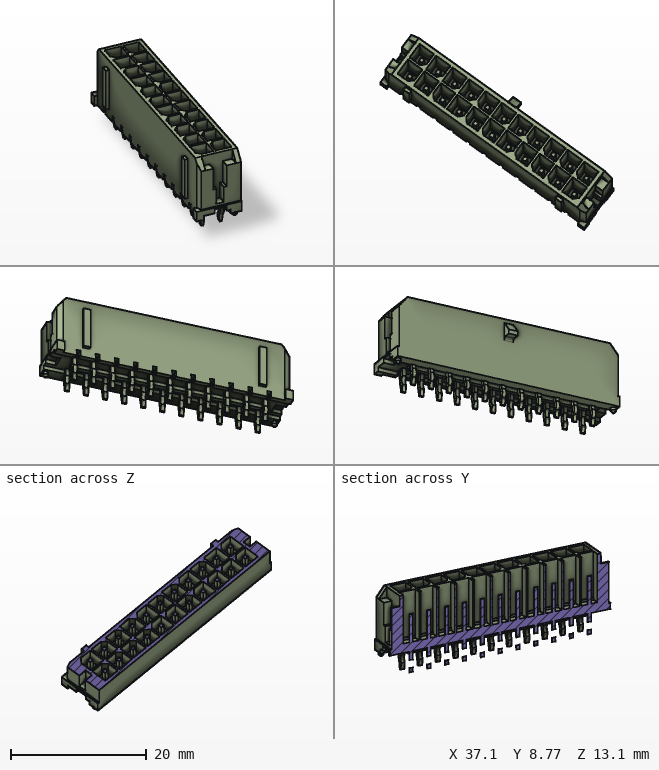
import cadquery as cq
import math

overall_length = 37.15
body_width = 6.85
body_height = 9.95
half_length = overall_length / 2
back_y = body_width / 2
front_y = -body_width / 2

flange_thickness = 0.25
flange_height = 1.67
foot_length = 1.15
foot_reach = 0.52
body_half_length = half_length - flange_thickness

end_slope_drop = 1.67
corner_bevel_x = foot_length - flange_thickness
corner_bevel_y = 0.37
end_wall_depth = 1.37
end_inner_x = body_half_length - end_wall_depth
back_ear_width = 0.8
front_ear_width = 1.05
wide_channel_width = 2.15
wide_channel_floor = 4.68
narrow_channel_width = 1.23
narrow_channel_floor = 2.1

columns = 11
column_span = 30.0
pitch = column_span / (columns - 1)
row_y = pitch / 2
column_xs = [-column_span / 2 + column * pitch for column in range(columns)]

cell_half_width = 1.3
cell_half_depth = 1.25
front_cell_back_ledge = 0.1
ledge_height = 0.37
cell_floor = 2.23
cell_corner_cut = 0.67
back_row_keys = "RRRRLRRLLLL"
front_row_keys = "R-LRLLRLLLR"

pin_width = 0.65
pin_top = 6.7
bow_top = -0.55
bow_bottom = -2.0
bow_offset = 0.22
taper_top = -2.25
pin_tip = -3.12
pin_tip_width = 0.3

recess_height = 0.67
recess_front_wall = 0.7
recess_back_wall = 1.8
arch_width = 1.95
arch_height = 1.37
rib_width = 0.7
notch_height = 1.0

peg_diameter = 0.85
peg_radius = peg_diameter / 2
peg_end_inset = 0.55
peg_back_inset = 0.95
peg_straight = 0.4
peg_length = 0.8
peg_tip_radius = 0.07

guide_width = 1.08
guide_offset = 13.85
guide_bottom = 1.65
guide_top = 8.35

latch_width = 1.5
latch_reach = 1.4
latch_ramp_top = body_height - 0.65
latch_lip_top = body_height - 2.25
latch_underside = body_height - 2.95
latch_fillet = 0.5


def block(x_min, x_max, y_min, y_max, z_min, z_max):
    """Box spanning the given limits."""
    size = (x_max - x_min, y_max - y_min, z_max - z_min)
    return cq.Workplane("XY").box(*size, centered=False).translate((x_min, y_min, z_min))


def on_both_ends(shape):
    """The shape together with its mirror image at the other end of the connector."""
    return shape.union(shape.mirror("YZ"))


def make_body():
    bevel_x = body_half_length - corner_bevel_x
    plan = (
        cq.Workplane("XY")
        .polyline([
            (-body_half_length, back_y),
            (body_half_length, back_y),
            (body_half_length, front_y + corner_bevel_y),
            (bevel_x, front_y),
            (-bevel_x, front_y),
            (-body_half_length, front_y + corner_bevel_y),
        ])
        .close()
        .extrude(body_height)
    )
    slope_end_z = body_height - end_slope_drop
    elevation = (
        cq.Workplane("XZ")
        .polyline([
            (-body_half_length, 0),
            (body_half_length, 0),
            (body_half_length, slope_end_z),
            (end_inner_x, body_height),
            (-end_inner_x, body_height),
            (-body_half_length, slope_end_z),
        ])
        .close()
        .extrude(body_width / 2, both=True)
    )
    return plan.intersect(elevation)


def make_end_channels():
    """Pocket between the end ears, stepping down to a wide and then a narrow channel."""
    ear_floor = body_height - end_slope_drop
    channel = block(end_inner_x, half_length, front_y + front_ear_width, back_y - back_ear_width,
                    ear_floor, body_height)
    for width, floor in (
        (wide_channel_width, wide_channel_floor),
        (narrow_channel_width, narrow_channel_floor),
    ):
        channel = channel.union(block(end_inner_x, half_length, -width / 2, width / 2, floor, body_height))
    return on_both_ends(channel)


def make_flanges():
    flange = block(body_half_length, half_length, front_y, back_y, 0, flange_height)
    foot = block(half_length - foot_length, half_length, front_y - foot_reach,
                 front_y + corner_bevel_y, 0, flange_height)
    return on_both_ends(flange.union(foot))


def make_guides():
    guide = block(guide_offset - guide_width / 2, guide_offset + guide_width / 2,
                  front_y - foot_reach, front_y, guide_bottom, guide_top)
    return on_both_ends(guide)


def make_latch():
    lip_y = back_y + latch_reach
    arc_drop = latch_fillet * math.sqrt(0.5)
    arc_centre = (back_y + latch_fillet, latch_underside - latch_fillet)
    return (
        cq.Workplane("YZ")
        .moveTo(back_y, latch_ramp_top)
        .lineTo(lip_y, latch_lip_top)
        .lineTo(lip_y, latch_underside)
        .lineTo(back_y + latch_fillet, latch_underside)
        .threePointArc((arc_centre[0] - arc_drop, arc_centre[1] + arc_drop),
                       (back_y, latch_underside - latch_fillet))
        .close()
        .extrude(latch_width / 2, both=True)
    )


def make_pegs():
    peg = (
        cq.Workplane("XZ")
        .polyline([
            (0, 0),
            (peg_radius, 0),
            (peg_radius, -peg_straight),
            (peg_tip_radius, -peg_length),
            (0, -peg_length),
        ])
        .close()
        .revolve(360, (0, 0), (0, 1))
    )
    return on_both_ends(peg.translate((half_length - peg_end_inset, back_y - peg_back_inset, 0)))


def make_cell(x, y, key, back_half_depth):
    """Cell cavity around a pin, with the keyed front corner cut off."""
    right_cut = cell_corner_cut if key == "R" else 0
    left_cut = cell_corner_cut if key == "L" else 0
    corners = [
        (-cell_half_width, back_half_depth),
        (cell_half_width, back_half_depth),
        (cell_half_width, -cell_half_depth + right_cut),
    ]
    if right_cut:
        corners.append((cell_half_width - right_cut, -cell_half_depth))
    corners.append((-cell_half_width + left_cut, -cell_half_depth))
    if left_cut:
        corners.append((-cell_half_width, -cell_half_depth + left_cut))
    return (
        cq.Workplane("XY")
        .polyline(corners)
        .close()
        .extrude(body_height - cell_floor)
        .translate((x, y, cell_floor))
    )


def make_front_pin():
    """Front-row pin centred on X = 0, with its tail bowed toward -Y."""
    half = pin_width / 2
    tip_half = pin_tip_width / 2
    bow_middle = (bow_top + bow_bottom) / 2
    return (
        cq.Workplane("YZ")
        .moveTo(-row_y - half, pin_top)
        .lineTo(-row_y - half, bow_top)
        .threePointArc((-row_y - half - bow_offset, bow_middle), (-row_y - half, bow_bottom))
        .lineTo(-row_y - half, taper_top)
        .lineTo(-row_y - tip_half, pin_tip)
        .lineTo(-row_y + tip_half, pin_tip)
        .lineTo(-row_y + half, taper_top)
        .lineTo(-row_y + half, bow_bottom)
        .threePointArc((-row_y + half - bow_offset, bow_middle), (-row_y + half, bow_top))
        .lineTo(-row_y + half, pin_top)
        .close()
        .extrude(half, both=True)
    )


def make_underside_cuts():
    """Full-length recess, a higher arch under each end, and a notch in front of each front pin."""
    recess_front_y = front_y + recess_front_wall
    recess = block(-half_length, half_length, recess_front_y, back_y - recess_back_wall, 0, recess_height)
    arch = block(end_inner_x, half_length, -arch_width / 2, arch_width / 2, 0, arch_height)
    cuts = recess.union(on_both_ends(arch))
    for x in column_xs:
        cuts = cuts.union(block(x - pin_width / 2, x + pin_width / 2, front_y,
                                -row_y - pin_width / 2, 0, notch_height))
    return cuts


def make_underside_rib():
    return block(-column_span / 2, column_span / 2, -rib_width / 2, rib_width / 2, 0, recess_height)


housing = (
    make_body()
    .cut(make_end_channels())
    .union(make_flanges())
    .union(make_guides())
    .union(make_latch())
    .cut(make_underside_cuts())
    .union(make_underside_rib())
    .union(make_pegs())
)

for x, key in zip(column_xs, back_row_keys):
    housing = housing.cut(make_cell(x, row_y, key, cell_half_depth))

for x, key in zip(column_xs, front_row_keys):
    cell = make_cell(x, -row_y, key, cell_half_depth + front_cell_back_ledge)
    ledge = block(x - cell_half_width, x + cell_half_width, -row_y + cell_half_depth,
                  -row_y + cell_half_depth + front_cell_back_ledge,
                  cell_floor, cell_floor + ledge_height)
    housing = housing.cut(cell.cut(ledge))

front_pin = make_front_pin()
back_pin = front_pin.mirror("XZ")
result = housing
for x in column_xs:
    result = result.union(front_pin.translate((x, 0, 0)))
    result = result.union(back_pin.translate((x, 0, 0)))